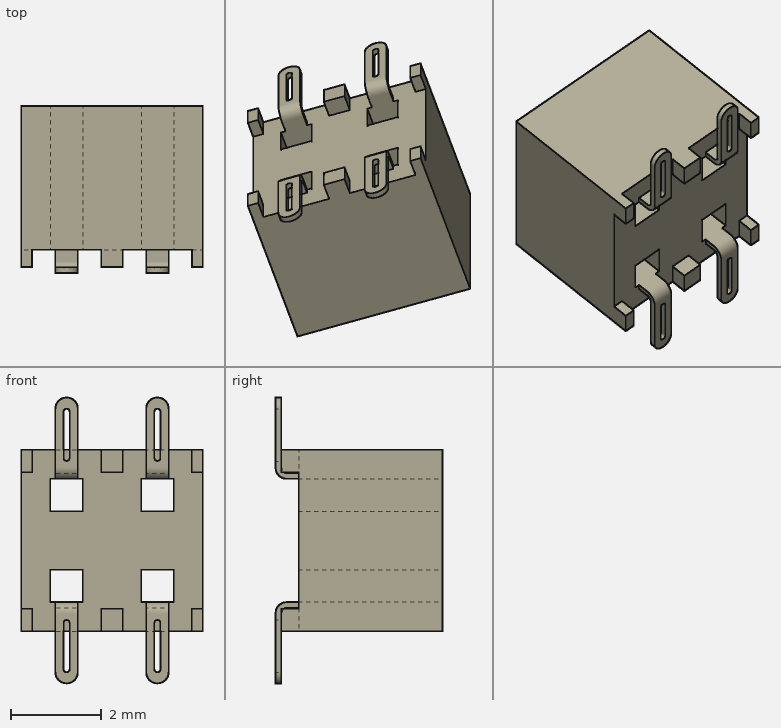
import cadquery as cq

housing_side = 4.0
overall_depth = 3.68

contact_pitch = 2.0
contact_span = 6.3
strip_width = 0.5
strip_thickness = 0.13
bend_radius = 0.25
inner_bend_radius = bend_radius - strip_thickness
tip_radius = strip_width / 2
window_side = 0.71

slot_width = 0.13
slot_length = 1.15
slot_tip_margin = 0.25

pad_projection = 0.38
pad_height = 0.5
corner_pad_width = 0.24
middle_pad_width = 2 * corner_pad_width

half_side = housing_side / 2
half_pitch = contact_pitch / 2
contact_front = -overall_depth
contact_back = contact_front + strip_thickness
mounting_face = contact_back + pad_projection
arm_near = half_pitch + window_side / 2
arm_far = arm_near + strip_thickness
contact_tip = contact_span / 2
slot_center = contact_tip - slot_tip_margin - slot_length / 2


def make_housing():
    """Block with four square windows running right through along Y."""
    block = cq.Workplane("XY").box(housing_side, -mounting_face, housing_side)
    block = block.translate((0, mounting_face / 2, 0))
    windows = (
        cq.Workplane("XZ")
        .rarray(contact_pitch, contact_pitch, 2, 2)
        .rect(window_side, window_side)
        .extrude(-mounting_face)
    )
    return block.cut(windows)


def make_pad(center_x, width, side):
    """Standoff pad at the top (side = 1) or bottom (side = -1) edge."""
    pad = cq.Workplane("XY").box(width, pad_projection, pad_height)
    center_y = mounting_face - pad_projection / 2
    center_z = side * (half_side - pad_height / 2)
    return pad.translate((center_x, center_y, center_z))


def make_upper_contact():
    """Upward contact centred on x = 0: a short arm, a bend and a slotted leg."""
    strip = (
        cq.Workplane("YZ")
        .moveTo(mounting_face, arm_near)
        .lineTo(contact_front + bend_radius, arm_near)
        .radiusArc((contact_front, arm_near + bend_radius), bend_radius)
        .lineTo(contact_front, contact_tip)
        .lineTo(contact_back, contact_tip)
        .lineTo(contact_back, arm_far + inner_bend_radius)
        .radiusArc((contact_back + inner_bend_radius, arm_far), -inner_bend_radius)
        .lineTo(mounting_face, arm_far)
        .close()
        .extrude(strip_width / 2, both=True)
    )
    rounded_outline = (
        cq.Workplane("XZ")
        .moveTo(-tip_radius, 0)
        .lineTo(tip_radius, 0)
        .lineTo(tip_radius, contact_tip - tip_radius)
        .threePointArc((0, contact_tip), (-tip_radius, contact_tip - tip_radius))
        .close()
        .extrude(overall_depth)
    )
    slot = (
        cq.Workplane("XZ")
        .center(0, slot_center)
        .slot2D(slot_length, slot_width, 90)
        .extrude(overall_depth)
    )
    return strip.intersect(rounded_outline).cut(slot)


result = make_housing()

corner_pad_x = half_side - corner_pad_width / 2
for edge in (1, -1):
    result = result.union(make_pad(-corner_pad_x, corner_pad_width, edge))
    result = result.union(make_pad(0, middle_pad_width, edge))
    result = result.union(make_pad(corner_pad_x, corner_pad_width, edge))

upper_contact = make_upper_contact()
lower_contact = upper_contact.mirror("XY")
for contact in (upper_contact, lower_contact):
    for contact_x in (-half_pitch, half_pitch):
        result = result.union(contact.translate((contact_x, 0, 0)))